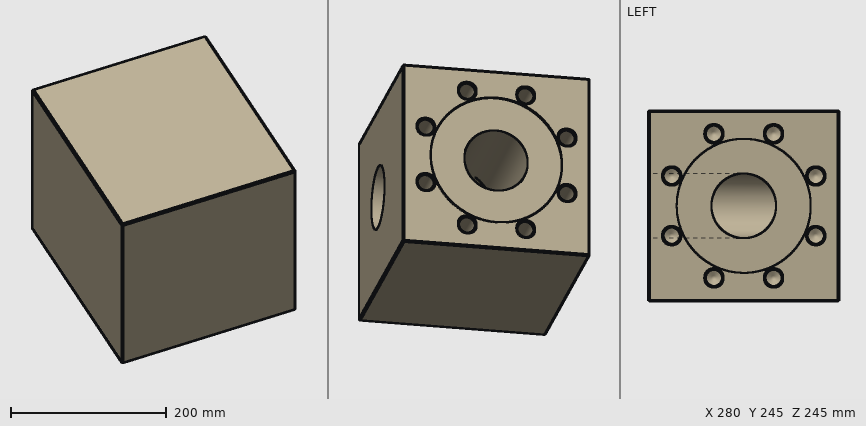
import cadquery as cq
import math

LENGTH_X = 280.0
WIDTH_Y = 245.0
HEIGHT_Z = 245.0
EDGE_CHAMFER = 2.0

BORE_DIAMETER = 83.0
OUTLET_X = LENGTH_X / 2 - WIDTH_Y / 2

RECESS_DIAMETER = 172.12
RECESS_DEPTH = 2.4

BOLT_COUNT = 8
BOLT_CIRCLE_DIAMETER = 200.0
BOLT_HOLE_DIAMETER = 21.0
BOLT_HOLE_DEPTH = 50.0
BOLT_MOUTH_DIAMETER = 24.8
DRILL_POINT_ANGLE = 118.0

INLET_FACE_X = -LENGTH_X / 2


def make_block():
    """Rectangular block with every outer edge chamfered."""
    return cq.Workplane("XY").box(LENGTH_X, WIDTH_Y, HEIGHT_Z).edges().chamfer(EDGE_CHAMFER)


def make_passage():
    """Round bore swept around a mitred 90 degree corner, from the inlet to the outlet face."""
    centre_line = cq.Workplane("XY").polyline([
        (INLET_FACE_X, 0),
        (OUTLET_X, 0),
        (OUTLET_X, WIDTH_Y / 2),
    ])
    return (
        cq.Workplane("YZ", origin=(INLET_FACE_X, 0, 0))
        .circle(BORE_DIAMETER / 2)
        .sweep(centre_line, transition="right")
    )


def make_recess():
    """Disc removed from the inlet face, concentric with the inlet."""
    return (
        cq.Workplane("YZ", origin=(INLET_FACE_X, 0, 0))
        .circle(RECESS_DIAMETER / 2)
        .extrude(RECESS_DEPTH)
    )


def make_bolt_hole():
    """Countersunk blind hole with a drill-point bottom, along +X on the block axis."""
    hole_radius = BOLT_HOLE_DIAMETER / 2
    mouth_radius = BOLT_MOUTH_DIAMETER / 2
    countersink_depth = mouth_radius - hole_radius
    point_length = hole_radius / math.tan(math.radians(DRILL_POINT_ANGLE / 2))
    return (
        cq.Workplane("XY", origin=(INLET_FACE_X, 0, 0))
        .polyline([
            (0, 0),
            (0, mouth_radius),
            (countersink_depth, hole_radius),
            (BOLT_HOLE_DEPTH, hole_radius),
            (BOLT_HOLE_DEPTH + point_length, 0),
        ])
        .close()
        .revolve(360, (0, 0, 0), (1, 0, 0))
    )


def cut_bolt_holes(body):
    """Bolt holes evenly spaced, straddling the Y and Z centre lines."""
    pitch = 360 / BOLT_COUNT
    hole = make_bolt_hole()
    for index in range(BOLT_COUNT):
        angle = math.radians((index + 0.5) * pitch)
        offset_y = BOLT_CIRCLE_DIAMETER / 2 * math.cos(angle)
        offset_z = BOLT_CIRCLE_DIAMETER / 2 * math.sin(angle)
        body = body.cut(hole.translate((0, offset_y, offset_z)))
    return body


result = make_block()
result = result.cut(make_passage())
result = result.cut(make_recess())
result = cut_bolt_holes(result)